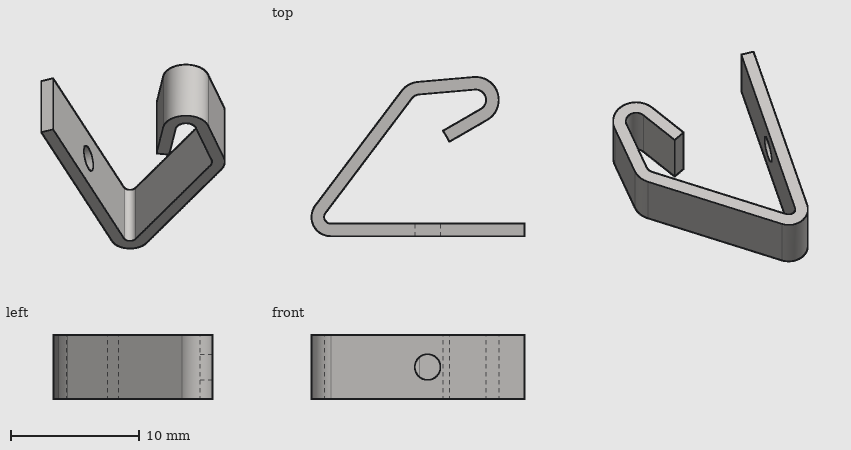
import cadquery as cq
import math

thickness = 1.0
width = 5.0

right_angle = 90.0

base_length = 15.1
arm_length = 11.16
top_length = 4.35
lip_length = 3.4

base_heading = 180.0
arm_heading = 53.0
top_heading = 5.0
lip_heading = -150.0

base_bend_radius = 1.5
shoulder_bend_radius = 1.8
hook_bend_radius = 1.8

hole_diameter = 2.0
hole_x = base_bend_radius + base_length / 2

segments = [
    (base_length, base_heading, base_bend_radius),
    (arm_length, arm_heading, shoulder_bend_radius),
    (top_length, top_heading, hook_bend_radius),
    (lip_length, lip_heading, None),
]


def offset(point, heading, distance):
    """Point reached by moving a distance along a heading."""
    angle = math.radians(heading)
    return (point[0] + distance * math.cos(angle), point[1] + distance * math.sin(angle))


def straight(start, length, heading):
    """Straight piece whose outer face runs from start; also returns the end of that face."""
    end = offset(start, heading, length)
    inward = heading - right_angle
    corners = [start, end, offset(end, inward, thickness), offset(start, inward, thickness)]
    return cq.Workplane("XY").polyline(corners).close().extrude(width), end


def bend(start, heading, next_heading, radius):
    """Clockwise bend tangent to both straights; also returns the end of its outer face."""
    center = offset(start, heading - right_angle, radius)
    inner_radius = radius - thickness
    start_angle = heading + right_angle
    end_angle = next_heading + right_angle
    middle_angle = (start_angle + end_angle) / 2
    end = offset(center, end_angle, radius)
    profile = (
        cq.Workplane("XY")
        .moveTo(*start)
        .threePointArc(offset(center, middle_angle, radius), end)
        .lineTo(*offset(center, end_angle, inner_radius))
        .threePointArc(
            offset(center, middle_angle, inner_radius),
            offset(center, start_angle, inner_radius),
        )
        .close()
    )
    return profile.extrude(width), end


def bent_strip():
    """Whole strip, from the free end of the base leg to the tip of the hook."""
    point = (base_bend_radius + base_length, 0)
    strip = None
    for index, (length, heading, radius) in enumerate(segments):
        piece, point = straight(point, length, heading)
        strip = piece if strip is None else strip.union(piece)
        if radius is not None:
            next_heading = segments[index + 1][1]
            piece, point = bend(point, heading, next_heading, radius)
            strip = strip.union(piece)
    return strip


def base_hole():
    """Cutter for the round hole through the base leg."""
    return (
        cq.Workplane("XZ")
        .center(hole_x, width / 2)
        .circle(hole_diameter / 2)
        .extrude(-thickness)
    )


result = bent_strip().cut(base_hole())